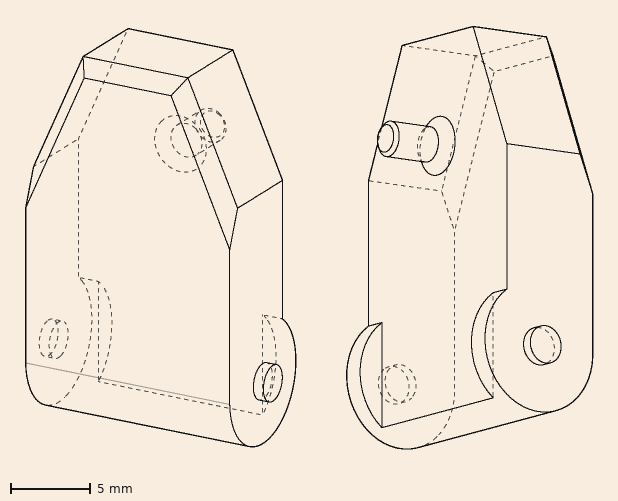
import cadquery as cq
import math

total_height = 25.0
total_width = 16.25
total_depth = 10.75

body_width = 14.8
body_depth = 6.7
top_width = 7.6
taper_height = 8.1
front_chamfer = 1.0

barrel_diameter = 8.4
front_face_drop = 0.18
ear_thickness = 1.45
pin_diameter = 2.4

stud_diameter = 2.25
stud_height_above_bottom = 17.95
stud_tip_chamfer = 0.25
collar_length = 0.75
collar_base_diameter = 3.75

barrel_radius = barrel_diameter / 2
front_y = -math.sqrt(barrel_radius**2 - front_face_drop**2)
back_y = front_y + body_depth
bottom_z = -barrel_radius
top_z = bottom_z + total_height
shoulder_z = top_z - taper_height
stud_z = bottom_z + stud_height_above_bottom
stud_length = total_depth - body_depth


def x_cylinder(diameter, x_start, length):
    """Cylinder around the hinge axis."""
    return cq.Workplane("YZ", origin=(x_start, 0, 0)).circle(diameter / 2).extrude(length)


def make_body():
    """Tapered block reaching down to the barrel, chamfered around its front top edges."""
    outline = [
        (-body_width / 2, -front_face_drop),
        (body_width / 2, -front_face_drop),
        (body_width / 2, shoulder_z),
        (top_width / 2, top_z),
        (-top_width / 2, top_z),
        (-body_width / 2, shoulder_z),
    ]
    block = cq.Workplane("XZ", origin=(0, back_y, 0)).polyline(outline).close().extrude(body_depth)
    front_top_edges = cq.selectors.BoxSelector(
        (-body_width, front_y - front_chamfer, shoulder_z),
        (body_width, front_y + front_chamfer, top_z + front_chamfer),
    )
    return block.edges(front_top_edges).chamfer(front_chamfer)


def make_barrel():
    """Rounded lower end: full round at the two ears, flush with the flat faces between them."""
    barrel = x_cylinder(barrel_diameter, -body_width / 2, body_width)
    gap_width = body_width - 2 * ear_thickness
    ear_gap = (
        cq.Workplane("XY", origin=(0, back_y, 0))
        .box(gap_width, barrel_diameter, barrel_diameter, centered=(True, False, True))
    )
    front_trim = (
        cq.Workplane("XY", origin=(0, front_y - barrel_radius, 0))
        .box(body_width, barrel_diameter, barrel_diameter)
    )
    return barrel.cut(ear_gap).cut(front_trim)


def make_stud():
    """Round stud with a chamfered tip and a conical collar at its root."""
    back_plane = cq.Workplane("XZ", origin=(0, back_y, stud_z))
    shank = back_plane.circle(stud_diameter / 2).extrude(-stud_length)
    shank = shank.faces(">Y").chamfer(stud_tip_chamfer)
    collar = (
        back_plane.circle(collar_base_diameter / 2)
        .workplane(offset=-collar_length)
        .circle(stud_diameter / 2)
        .loft()
    )
    return shank.union(collar)


pin = x_cylinder(pin_diameter, -total_width / 2, total_width)
result = make_body().union(make_barrel()).union(pin).union(make_stud())